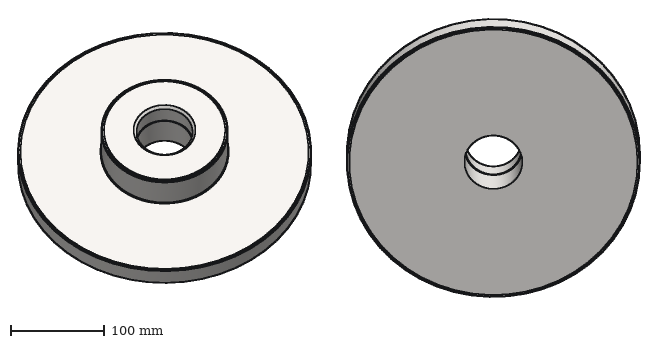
import cadquery as cq
disc_diameter = 315.0
disc_thickness = 23.5
hub_diameter = 136.0
edge_chamfer = 1.0
root_diameter = 138.0
disc_skin = 0.47

total_height = 63.0
core_flange_diameter = 309.3
core_hub_diameter = 130.0
core_protrusion = 1.0

bore_diameter = 60.2
bore_chamfer = 3.0
relief_diameter = 62.0
relief_height = 37.8

jacket_height = total_height - core_protrusion
core_flange_thickness = disc_thickness - disc_skin
root_height = (root_diameter - hub_diameter) / 2


def cylinder(diameter, bottom, top):
    """Upright cylinder on the Z axis between two heights."""
    return cq.Workplane("XY").workplane(offset=bottom).circle(diameter / 2).extrude(top - bottom)


def cone(bottom_diameter, top_diameter, bottom, top):
    """Upright truncated cone on the Z axis between two heights."""
    return (
        cq.Workplane("XY")
        .workplane(offset=bottom)
        .circle(bottom_diameter / 2)
        .workplane(offset=top - bottom)
        .circle(top_diameter / 2)
        .loft(ruled=True)
    )


def make_core_blank():
    """Outer form of the core: a wide flange with a hub on top."""
    flange = cylinder(core_flange_diameter, 0, core_flange_thickness)
    hub = cylinder(core_hub_diameter, 0, total_height)
    return flange.union(hub)


def make_core():
    """Core with its chamfered and relieved through bore."""
    bore = cylinder(bore_diameter, 0, total_height)
    relief = cylinder(relief_diameter, 0, relief_height)
    countersink = cone(
        bore_diameter, bore_diameter + 2 * bore_chamfer, total_height - bore_chamfer, total_height
    )
    return make_core_blank().cut(bore).cut(relief).cut(countersink)


def make_jacket():
    """Thin cover with chamfered edges and a bevelled hub root, hollowed to fit the core."""
    disc = cylinder(disc_diameter, 0, disc_thickness).edges().chamfer(edge_chamfer)
    hub = cylinder(hub_diameter, 0, jacket_height).faces(">Z").edges().chamfer(edge_chamfer)
    root = cone(root_diameter, hub_diameter, disc_thickness, disc_thickness + root_height)
    return disc.union(hub).union(root).cut(make_core_blank())


core = make_core()
jacket = make_jacket()
result = cq.Compound.makeCompound([*core.solids().vals(), *jacket.solids().vals()])